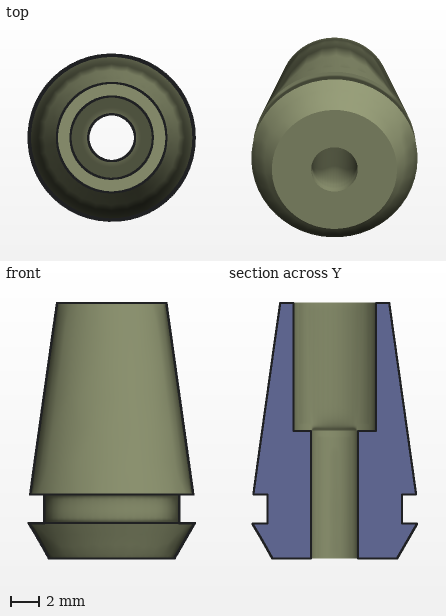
import cadquery as cq
import math

length = 18.0
collar_diameter = 11.7
collar_height = 2.5
collar_half_angle = 30.0

neck_diameter = 9.54
neck_top = 4.5

body_diameter = 11.5
body_half_angle = 8.0

relief_diameter = 5.8
relief_depth = length / 2
hole_diameter = 3.28

collar_radius = collar_diameter / 2
neck_radius = neck_diameter / 2
body_radius = body_diameter / 2
bottom_radius = collar_radius - collar_height * math.tan(math.radians(collar_half_angle))
top_radius = body_radius - (length - neck_top) * math.tan(math.radians(body_half_angle))

outer_body = (
    cq.Workplane("XZ")
    .moveTo(0, 0)
    .lineTo(bottom_radius, 0)
    .lineTo(collar_radius, collar_height)
    .lineTo(neck_radius, collar_height)
    .lineTo(neck_radius, neck_top)
    .lineTo(body_radius, neck_top)
    .lineTo(top_radius, length)
    .lineTo(0, length)
    .close()
    .revolve(360, (0, 0), (0, 1))
)

through_hole = cq.Workplane("XY").circle(hole_diameter / 2).extrude(length)
relief_bore = (
    cq.Workplane("XY")
    .workplane(offset=length - relief_depth)
    .circle(relief_diameter / 2)
    .extrude(relief_depth)
)

result = outer_body.cut(through_hole).cut(relief_bore)